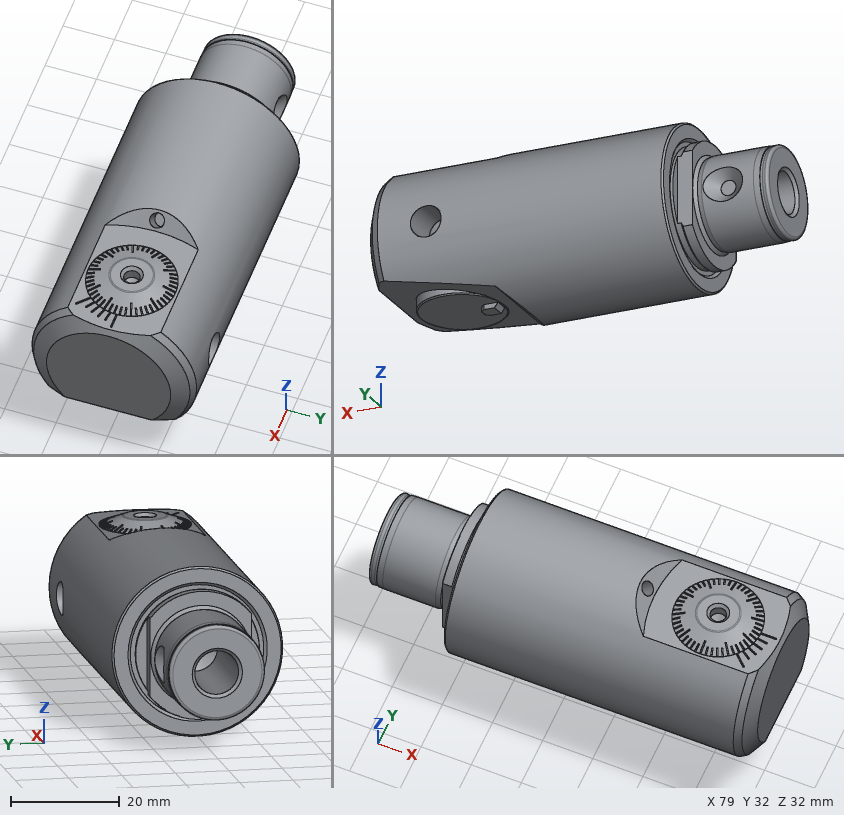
import cadquery as cq
import math


total_length = 79.0
shoulder_x = 18.0
housing_radius = 16.0
rear_chamfer = 0.35
nose_start_x = 75.8
nose_middle_x = 77.2
nose_shallow_angle = 30.0
nose_steep_angle = 60.0

flat_z = 13.2
runout_axis_x = 79.3
runout_radius = 26.0

underside_start_x = 54.8
underside_start_z = -12.65
underside_end_z = -8.63
underside_runout_x = 51.0

adjust_x = 66.0
bore_radius = 8.5

clamp_hole_diameter = 6.2
oil_hole_diameter = 2.8
oil_hole_depth = 4.0

dial_base_z = 9.0
dial_rim_z = 13.3
dial_top_z = 14.95
dial_top_radius = 4.2
dial_edge_width = 0.25
dial_edge_height = 0.06
socket_mouth_radius = 2.1
socket_radius = 1.5
socket_depth = 2.5

tick_width = 0.25
tick_depth = 0.1
tick_count = 50
ticks_per_long = 5
zero_tick_angle = 90.0
short_tick_inner_radius = 7.0
long_tick_inner_radius = 6.1
vernier_count = 6
vernier_short_radius = 10.5
vernier_long_radius = 11.6

slide_bottom_z = -12.05
slide_top_z = 4.0
slide_edge_chamfer = 0.25
insert_left_x = 58.1
insert_right_x = 61.8
insert_width = 3.0
insert_height = 1.0
insert_slope = 0.75
insert_corner = 0.8

shank_radius = 9.0
shank_end_fillet = 0.6
groove_start_x = 1.2
groove_end_x = 1.65
groove_depth = 0.2
lead_end_x = 2.9
lead_drop = 0.06
undercut_start_x = 13.4
undercut_end_x = 14.35
undercut_radius = 8.75
neck_flare_radius = 9.4
collar_start_x = 15.0
collar_radius = 12.05
collar_chamfer_start_x = 16.9
plug_start_x = 17.3
plug_radius = 11.6
plug_length = 12.0
flat_spacing = 19.0
coupling_bore_radius = 4.1
coupling_bore_mouth_radius = 4.7
coupling_bore_depth = 20.0
drill_point_angle = 118.0
detent_mouth_diameter = 8.0
detent_x = 9.1
detent_cone_depth = 2.5
recess_mouth_radius = 13.05
recess_floor_radius = 12.5

recess_depth = recess_mouth_radius - recess_floor_radius
nose_first_drop = (nose_middle_x - nose_start_x) * math.tan(math.radians(nose_shallow_angle))
nose_second_drop = (total_length - nose_middle_x) * math.tan(math.radians(nose_steep_angle))
nose_middle_radius = housing_radius - nose_first_drop
nose_end_radius = nose_middle_radius - nose_second_drop
tick_pitch = 360.0 / tick_count
vernier_pitch = tick_pitch * vernier_count / (vernier_count - 1)
clear = 5.0


def turned(points):
    """Solid of revolution about X from (x, radius) points that start and end on the axis."""
    return cq.Workplane("XY").polyline(points).close().revolve(360, (0, 0, 0), (1, 0, 0))


def turned_about_z(points, axis_x):
    """Solid of revolution about a vertical axis from (radius, z) points."""
    profile = cq.Workplane("XZ").polyline(points).close()
    return profile.revolve(360, (0, 0, 0), (0, 1, 0)).translate((axis_x, 0, 0))


def drill_tip(radius):
    """Depth of the cone left by a drill of this radius."""
    return radius / math.tan(math.radians(drill_point_angle / 2))


def radial_tick(inner, outer, angle, bottom_z, height):
    """Narrow radial bar about the adjustment axis, used to engrave one graduation."""
    bar = cq.Workplane("XY").box(outer - inner, tick_width, height, centered=(False, True, False))
    bar = bar.translate((inner, 0, bottom_z)).rotate((0, 0, 0), (0, 0, 1), angle)
    return bar.translate((adjust_x, 0, 0))


def dial_flat_cutter():
    """Everything above the flat, bounded at the rear by the 45 degree conical run-out."""
    top_z = housing_radius + clear
    return turned_about_z(
        [
            (0, flat_z),
            (runout_radius, flat_z),
            (runout_radius + top_z - flat_z, top_z),
            (0, top_z),
        ],
        runout_axis_x,
    )


def underside_cutter():
    """Wedge below the inclined underside and its sloping run-out."""
    slope = (underside_end_z - underside_start_z) / (total_length - underside_start_x)
    runout_slope = (underside_start_z + housing_radius) / (underside_start_x - underside_runout_x)
    outer_x = total_length + clear
    outer_z = -housing_radius - clear
    points = [
        (underside_runout_x - clear / runout_slope, outer_z),
        (underside_start_x, underside_start_z),
        (outer_x, underside_end_z + slope * clear),
        (outer_x, outer_z),
    ]
    return cq.Workplane("XZ").polyline(points).close().extrude(housing_radius + clear, both=True)


def coupling_socket_cutter():
    """Socket for the coupling plug, opened by a 45 degree countersink."""
    floor_x = shoulder_x + recess_depth
    end_x = shoulder_x + plug_length
    return turned(
        [
            (shoulder_x, 0),
            (shoulder_x, recess_mouth_radius),
            (floor_x, recess_floor_radius),
            (floor_x, plug_radius),
            (end_x, plug_radius),
            (end_x, 0),
        ]
    )


def oil_hole_cutter():
    """Hole square to the 45 degree run-out, at mid-slope."""
    half_rise = (housing_radius - flat_z) / 2
    mouth = cq.Vector(runout_axis_x - runout_radius - half_rise, 0, flat_z + half_rise)
    inward = cq.Vector(-1, 0, -1).normalized()
    start = mouth - inward * clear
    return cq.Workplane(cq.Solid.makeCylinder(oil_hole_diameter / 2, oil_hole_depth + clear, start, inward))


def make_housing():
    body = turned(
        [
            (shoulder_x, 0),
            (shoulder_x, housing_radius - rear_chamfer),
            (shoulder_x + rear_chamfer, housing_radius),
            (nose_start_x, housing_radius),
            (nose_middle_x, nose_middle_radius),
            (total_length, nose_end_radius),
            (total_length, 0),
        ]
    )
    body = body.cut(dial_flat_cutter()).cut(underside_cutter()).cut(coupling_socket_cutter())
    bore = cq.Workplane("XY").center(adjust_x, 0).circle(bore_radius).extrude(housing_radius, both=True)
    clamp_hole = cq.Workplane("XZ").center(adjust_x, 0).circle(clamp_hole_diameter / 2)
    clamp_hole = clamp_hole.extrude(-housing_radius)
    body = body.cut(bore).cut(clamp_hole).cut(oil_hole_cutter())
    for i in range(vernier_count):
        is_end = i in (0, vernier_count - 1)
        outer = vernier_long_radius if is_end else vernier_short_radius
        inner = bore_radius - tick_width
        body = body.cut(radial_tick(inner, outer, -i * vernier_pitch, flat_z - tick_depth, clear))
    return body


def shank_detent_cutter():
    """Truncated 45 degree cone sunk into the +Y side of the shank."""
    radius = detent_mouth_diameter / 2
    floor_centre = cq.Vector(detent_x, shank_radius - detent_cone_depth, 0)
    outward = cq.Vector(0, 1, 0)
    cone = cq.Solid.makeCone(radius - detent_cone_depth, radius, detent_cone_depth, floor_centre, outward)
    return cq.Workplane(cone)


def make_coupling():
    fillet_middle = shank_end_fillet * (1 - math.sqrt(0.5))
    groove_radius = shank_radius - groove_depth
    lead_radius = shank_radius - lead_drop
    end_x = shoulder_x + plug_length
    body = (
        cq.Workplane("XY")
        .lineTo(0, lead_radius - shank_end_fillet)
        .threePointArc((fillet_middle, lead_radius - fillet_middle), (shank_end_fillet, lead_radius))
        .lineTo(groove_start_x, groove_radius)
        .lineTo(groove_end_x, groove_radius)
        .lineTo(groove_end_x, lead_radius)
        .lineTo(lead_end_x, shank_radius)
        .lineTo(undercut_start_x, shank_radius)
        .lineTo(undercut_end_x, undercut_radius)
        .lineTo(collar_start_x, neck_flare_radius)
        .lineTo(collar_start_x, collar_radius)
        .lineTo(collar_chamfer_start_x, collar_radius)
        .lineTo(plug_start_x, plug_radius)
        .lineTo(end_x, plug_radius)
        .lineTo(end_x, 0)
        .close()
        .revolve(360, (0, 0, 0), (1, 0, 0))
    )
    mouth_chamfer = coupling_bore_mouth_radius - coupling_bore_radius
    bore = turned(
        [
            (0, 0),
            (0, coupling_bore_mouth_radius),
            (mouth_chamfer, coupling_bore_radius),
            (coupling_bore_depth, coupling_bore_radius),
            (coupling_bore_depth + drill_tip(coupling_bore_radius), 0),
        ]
    )
    body = body.cut(bore).cut(shank_detent_cutter())
    for side in (-1, 1):
        flat_length = shoulder_x - collar_start_x
        cutter = cq.Workplane("XY").box(flat_length, clear, 2 * collar_radius, centered=(False, True, True))
        body = body.cut(cutter.translate((collar_start_x, side * (flat_spacing + clear) / 2, 0)))
    return body


def dial_cone(lowered):
    """The dial above its base, with the conical face lowered by the given amount."""
    edge_z = dial_top_z - dial_edge_height
    return turned_about_z(
        [
            (0, dial_base_z),
            (bore_radius, dial_base_z),
            (bore_radius, dial_rim_z - lowered),
            (dial_top_radius, edge_z - lowered),
            (dial_top_radius - dial_edge_width, dial_top_z - lowered),
            (0, dial_top_z - lowered),
        ],
        adjust_x,
    )


def make_dial():
    body = dial_cone(0)
    socket_floor = dial_top_z - socket_depth
    socket = turned_about_z(
        [
            (0, dial_top_z),
            (socket_mouth_radius, dial_top_z),
            (socket_radius, dial_top_z - (socket_mouth_radius - socket_radius)),
            (socket_radius, socket_floor),
            (0, socket_floor - drill_tip(socket_radius)),
        ],
        adjust_x,
    )
    height = dial_top_z - dial_base_z
    ticks = []
    for i in range(tick_count):
        inner = long_tick_inner_radius if i % ticks_per_long == 0 else short_tick_inner_radius
        angle = zero_tick_angle + i * tick_pitch
        ticks.append(radial_tick(inner, bore_radius + clear, angle, dial_base_z, height).val())
    engraving = cq.Workplane(cq.Compound.makeCompound(ticks)).cut(dial_cone(tick_depth))
    return body.cut(socket).cut(engraving)


def make_slide():
    height = slide_top_z - slide_bottom_z
    slide = cq.Workplane("XY", origin=(adjust_x, 0, slide_bottom_z)).circle(bore_radius).extrude(height)
    return slide.faces("<Z").chamfer(slide_edge_chamfer)


def make_insert():
    bottom_z = slide_bottom_z - insert_height
    side = [
        (insert_left_x, slide_bottom_z),
        (insert_left_x + insert_slope, bottom_z),
        (insert_right_x, bottom_z),
        (insert_right_x, slide_bottom_z),
    ]
    block = cq.Workplane("XZ").polyline(side).close().extrude(insert_width / 2, both=True)
    return block.edges("|Z and >X").chamfer(insert_corner)


housing = make_housing()
coupling = make_coupling()
dial = make_dial()
slide = make_slide()
insert = make_insert()

result = cq.Compound.makeCompound(
    [body.solids().val() for body in (housing, coupling, dial, slide, insert)]
)